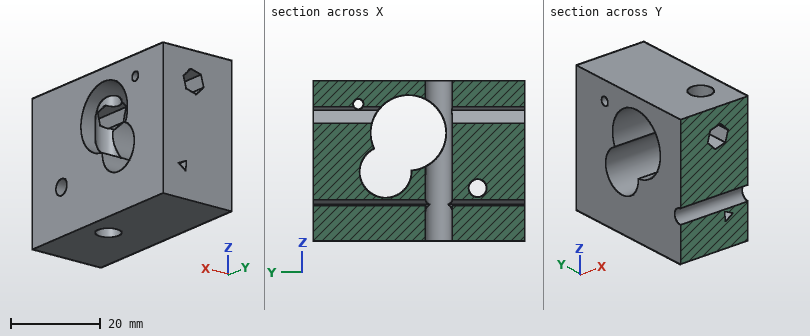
import cadquery as cq
import math

WIDTH = 19.45
LENGTH = 47.15
HEIGHT = 35.75

MAIN_BORE = (2.35, 6.2, 16.8)
OVERLAPPING_BORE = (7.45, -2.45, 11.5)
SMALL_HOLE = (13.55, 12.65, 2.25)
MEDIUM_HOLE = (-13.05, -6.1, 3.95)

VERTICAL_HOLE_X = 3.2
VERTICAL_HOLE_Y = -4.45
VERTICAL_HOLE_DIAMETER = 5.95

HEXAGON_HOLE = (6, 1.1, 10.45, 5.95, 15.0)
TRIANGLE_HOLE = (3, 3.9, -9.85, 2.85, 5.0)


def round_cutter_along_x(y, z, diameter):
    """Cylinder spanning the block in X."""
    return cq.Workplane("YZ").center(y, z).circle(diameter / 2).extrude(WIDTH / 2, both=True)


def polygon_cutter_along_y(sides, x, z, diameter, corner_angle):
    """Regular prism spanning the block in Y."""
    angles = [math.radians(corner_angle + 360 * i / sides) for i in range(sides)]
    radius = diameter / 2
    corners = [(x + radius * math.cos(a), z + radius * math.sin(a)) for a in angles]
    return cq.Workplane("XZ").polyline(corners).close().extrude(LENGTH / 2, both=True)


result = cq.Workplane("XY").box(WIDTH, LENGTH, HEIGHT)

for hole in (MAIN_BORE, OVERLAPPING_BORE, SMALL_HOLE, MEDIUM_HOLE):
    result = result.cut(round_cutter_along_x(*hole))

for hole in (HEXAGON_HOLE, TRIANGLE_HOLE):
    result = result.cut(polygon_cutter_along_y(*hole))

vertical_cutter = (
    cq.Workplane("XY")
    .center(VERTICAL_HOLE_X, VERTICAL_HOLE_Y)
    .circle(VERTICAL_HOLE_DIAMETER / 2)
    .extrude(HEIGHT / 2, both=True)
)
result = result.cut(vertical_cutter)